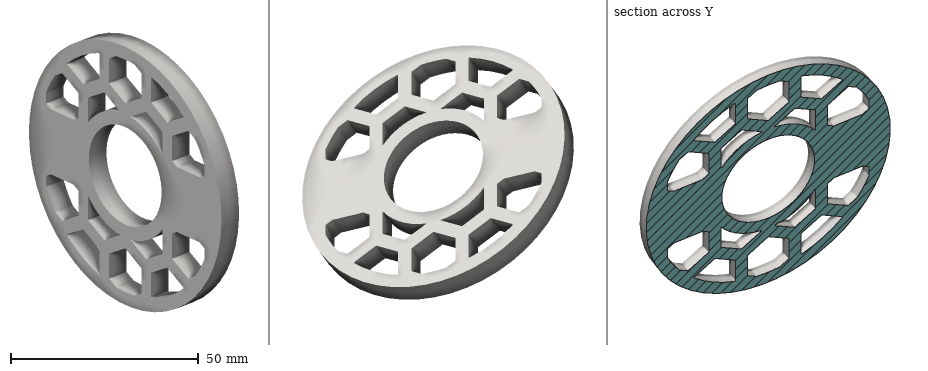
import cadquery as cq
import math

INCH = 25.4

thickness = 0.25 * INCH
outer_diameter = 2.98 * INCH
bore_diameter = 1.125 * INCH
ring_wall = 0.15 * INCH
solid_band_width = 0.75 * INCH

cell_width = 0.5 * INCH
cell_wall = 0.15 * INCH

hub_radius = bore_diameter / 2 + ring_wall
rim_inner_radius = outer_diameter / 2 - ring_wall
cell_corner_diameter = 2 * cell_width / math.sqrt(3)
column_pitch = cell_width + cell_wall
row_pitch = column_pitch * math.sqrt(3) / 2
row_count = math.ceil(rim_inner_radius / row_pitch)
column_count = math.ceil(rim_inner_radius / column_pitch)


def face_plane():
    """Workplane on the Y = 0 face: local x along Z, local y along X, extruding toward +Y."""
    return cq.Workplane(cq.Plane(origin=(0, 0, 0), xDir=(0, 0, 1), normal=(0, 1, 0)))


def cell_centers():
    """Lattice points about the disc axis, with every odd row shifted by half a column."""
    centers = []
    for row in range(-row_count, row_count + 1):
        shift = (row % 2) * column_pitch / 2
        for column in range(-column_count, column_count + 1):
            centers.append((row * row_pitch, column * column_pitch + shift))
    return centers


def make_disc():
    """Plain disc with its central bore."""
    return (
        face_plane()
        .circle(outer_diameter / 2)
        .circle(bore_diameter / 2)
        .extrude(thickness)
    )


def make_window_region():
    """Area between hub and rim, above and below the solid band, where cells may be cut."""
    ring = face_plane().circle(rim_inner_radius).circle(hub_radius).extrude(thickness)
    band = face_plane().rect(solid_band_width, outer_diameter).extrude(thickness)
    return ring.cut(band)


def make_windows():
    """Hexagonal cells trimmed to the window region."""
    region = make_window_region()
    cells = (
        face_plane()
        .pushPoints(cell_centers())
        .polygon(6, cell_corner_diameter)
        .extrude(thickness)
    )
    return region.intersect(cells)


result = make_disc().cut(make_windows())